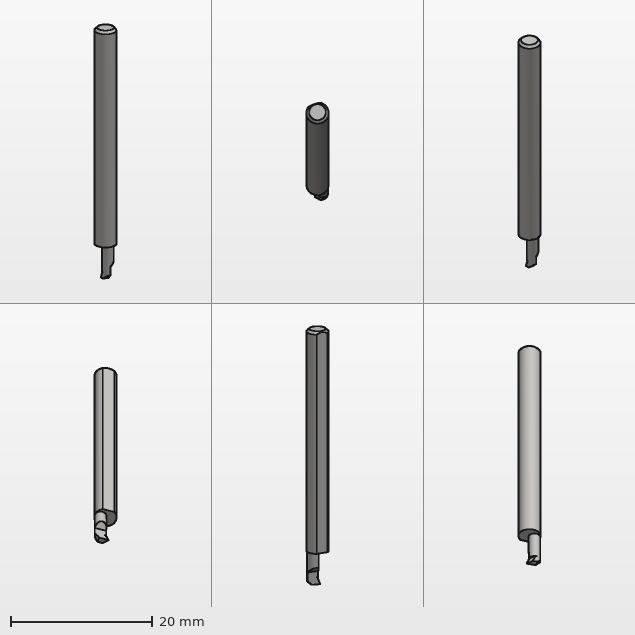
import cadquery as cq

total_length = 38.1
shank_diameter = 3.175
shank_radius = shank_diameter / 2
shank_width_over_flat = 2.92
shank_flat_y = shank_width_over_flat - shank_radius
shank_chamfer = 0.4

neck_length = 5.08
neck_radius = 0.85
neck_center_x = shank_radius - neck_radius
neck_left_x = neck_center_x - neck_radius

relief_height = 2.05
relief_slope_rise = 0.8

head_height = 1.08
head_shoulder_inset = 0.07
tip_overhang = 0.34
tip_x = neck_left_x - tip_overhang
heel_start_x = 0.92
heel_start_z = 0.12
heel_end_z = 0.8
side_clearance = 0.62
end_clearance = 0.04


def make_shank():
    """Chamfered round bar with one long flat on its +Y side."""
    length = total_length - neck_length
    bar = (
        cq.Workplane("XY", origin=(0, 0, neck_length))
        .circle(shank_radius)
        .extrude(length)
        .faces(">Z")
        .chamfer(shank_chamfer)
    )
    keep = cq.Workplane("XY").box(
        shank_diameter, shank_width_over_flat, total_length, centered=(True, False, False)
    )
    return bar.intersect(keep.translate((0, -shank_radius, 0)))


def make_neck():
    """Round neck cut to a half-round below a sloping run-out."""
    neck = cq.Workplane("XY").center(neck_center_x, 0).circle(neck_radius).extrude(neck_length)
    relief = (
        cq.Workplane("YZ")
        .polyline([
            (0, 0),
            (neck_radius, 0),
            (neck_radius, relief_height + relief_slope_rise),
            (0, relief_height),
        ])
        .close()
        .extrude(shank_diameter, both=True)
    )
    return neck.cut(relief)


def make_end_cutter():
    """Solid below the sloping end edge and the heel bevel, tilted up towards -Y for end clearance."""
    front = [
        (tip_x, 0),
        (heel_start_x, heel_start_z),
        (shank_radius, heel_end_z),
        (shank_radius, -head_height),
        (tip_x, -head_height),
    ]
    back = [(x, z + end_clearance) for x, z in front]
    return (
        cq.Workplane("XZ")
        .polyline(front)
        .close()
        .workplane(offset=neck_radius)
        .polyline(back)
        .close()
        .loft(ruled=True)
    )


def make_head():
    """Hooked head: its -X side leans back from the rake face to a flat on the -Y side."""
    def add_outline(plane, shift):
        return (
            plane.moveTo(neck_left_x + head_shoulder_inset + shift, head_height)
            .lineTo(tip_x + shift, 0)
            .lineTo(neck_center_x, 0)
            .lineTo(neck_center_x, head_height)
            .close()
        )

    rake_outline = add_outline(cq.Workplane("XZ"), 0)
    back_plane = rake_outline.workplane(offset=neck_radius)
    return add_outline(back_plane, side_clearance).loft(ruled=True)


def make_cutting_end():
    """Neck with its lower -X quarter replaced by the head, then ground at the end."""
    replaced_quarter = cq.Workplane("XY").box(
        shank_diameter, shank_diameter, head_height, centered=(False, True, False)
    ).translate((neck_center_x - shank_diameter, 0, 0))
    return make_neck().cut(replaced_quarter).union(make_head()).cut(make_end_cutter())


result = make_shank().union(make_cutting_end())